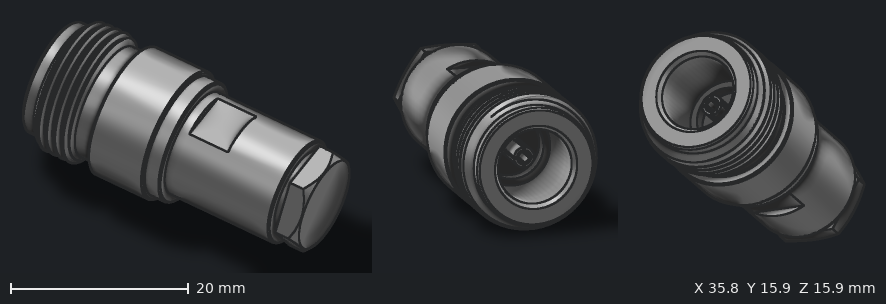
import cadquery as cq
import math

LENGTH = 35.78
THREAD_START = 1.55
THREAD_END = 7.0
COLLAR_START = 9.37
COLLAR_END = 16.6
STEP_END = 18.57
BODY_END = 32.35
NUT_START = 33.2

BARREL_RADIUS = 6.87
BARREL_RING_RADIUS = 7.0
COLLAR_RADIUS = 7.95
STEP_RADIUS = 7.4
BODY_RADIUS = 6.35
NECK_RADIUS = 5.15

MOUTH_CHAMFER = 0.25
EDGE_CHAMFER = 0.18
RING_WIDTH = 0.1

THREAD_MAJOR_RADIUS = 7.95
THREAD_ROOT_RADIUS = 7.37
THREAD_PITCH = 1.07
THREAD_TURNS = 6
THREAD_CREST_WIDTH = 0.18
THREAD_FLANK_ANGLE = 30.0
FIRST_CREST_X = 0.95
RIDGE_OVERLAP = 0.1
CREST_CLEARANCE = 0.05
LEAD_IN_SLOPE = 1.0
RUN_OUT_SLOPE = 1.3

FLAT_START = 19.82
FLAT_END = 24.9
FLAT_HEIGHT = 5.55

NUT_FLAT_RADIUS = 5.5
NUT_CORNER_RADIUS = NUT_FLAT_RADIUS / math.cos(math.pi / 6)
NUT_FACE_RADIUS = 5.45
NUT_CHAMFER_LENGTH = 0.82
NUT_TRIM_RADIUS = 7.15

SOCKET_MOUTH_RADIUS = 4.83
SOCKET_RADIUS = 4.33
SOCKET_DEPTH = 9.05
CAVITY_RADIUS = 3.55
CAVITY_DEPTH = 10.75
CONTACT_RADIUS = 1.18
CONTACT_TIP = 4.75
CONTACT_HOLE_RADIUS = 0.65
CONTACT_MOUTH_RADIUS = 0.82
CONTACT_HOLE_DEPTH = 4.3
CONTACT_SLOT_WIDTH = 0.2
CONTACT_SLOT_DEPTH = 3.58


def revolve_x(points):
    """Revolve a closed (x, radius) outline around the X axis."""
    return cq.Workplane("XY").polyline(points).close().revolve(360, (0, 0, 0), (1, 0, 0))


def cylinder_x(start, end, radius):
    """Cylinder on the X axis between two stations."""
    return cq.Workplane("YZ", origin=(start, 0, 0)).circle(radius).extrude(end - start)


def thread_envelope():
    """Solid just clear of the thread crests, with a cone at each end down to the barrel."""
    radius = THREAD_MAJOR_RADIUS + CREST_CLEARANCE
    rise = radius - BARREL_RADIUS
    return revolve_x([
        (THREAD_START, 0),
        (THREAD_START, BARREL_RADIUS),
        (THREAD_START + rise / LEAD_IN_SLOPE, radius),
        (THREAD_END - rise / RUN_OUT_SLOPE, radius),
        (THREAD_END, BARREL_RADIUS),
        (THREAD_END, 0),
    ])


def thread_ridge():
    """Right-hand helical ridge around the X axis, starting on the underside of the part."""
    base_radius = THREAD_ROOT_RADIUS - RIDGE_OVERLAP
    half_crest = THREAD_CREST_WIDTH / 2
    flank_run = (THREAD_MAJOR_RADIUS - base_radius) * math.tan(math.radians(THREAD_FLANK_ANGLE))
    half_base = half_crest + flank_run
    helix = cq.Wire.makeHelix(THREAD_PITCH, THREAD_PITCH * THREAD_TURNS, base_radius)
    ridge = (
        cq.Workplane("XZ")
        .polyline([
            (base_radius, -half_base),
            (THREAD_MAJOR_RADIUS, -half_crest),
            (THREAD_MAJOR_RADIUS, half_crest),
            (base_radius, half_base),
        ])
        .close()
        .sweep(cq.Workplane(helix), isFrenet=True)
    )
    return ridge.rotate((0, 0, 0), (0, 1, 0), 90).translate((FIRST_CREST_X, 0, 0))


def threaded_stretch():
    """Thread on its root cylinder, both trimmed together by the end cones."""
    root = cylinder_x(0, COLLAR_START, THREAD_ROOT_RADIUS)
    return root.union(thread_ridge()).intersect(thread_envelope())


def outer_shell():
    """All the round outer steps from the mating face to the neck under the nut."""
    return revolve_x([
        (0, 0),
        (0, BARREL_RADIUS - MOUTH_CHAMFER),
        (MOUTH_CHAMFER, BARREL_RADIUS),
        (COLLAR_START - RING_WIDTH, BARREL_RADIUS),
        (COLLAR_START - RING_WIDTH, BARREL_RING_RADIUS),
        (COLLAR_START, BARREL_RING_RADIUS),
        (COLLAR_START, COLLAR_RADIUS - EDGE_CHAMFER),
        (COLLAR_START + EDGE_CHAMFER, COLLAR_RADIUS),
        (COLLAR_END - EDGE_CHAMFER, COLLAR_RADIUS),
        (COLLAR_END, COLLAR_RADIUS - EDGE_CHAMFER),
        (COLLAR_END, STEP_RADIUS),
        (STEP_END - EDGE_CHAMFER, STEP_RADIUS),
        (STEP_END, STEP_RADIUS - EDGE_CHAMFER),
        (STEP_END, BODY_RADIUS),
        (BODY_END - EDGE_CHAMFER, BODY_RADIUS),
        (BODY_END, BODY_RADIUS - EDGE_CHAMFER),
        (BODY_END, NECK_RADIUS),
        (NUT_START, NECK_RADIUS),
        (NUT_START, 0),
    ])


def wrench_flat(side):
    """Block that cuts a flat on the top (side = 1) or the underside (side = -1)."""
    depth = BODY_RADIUS - FLAT_HEIGHT
    return cq.Workplane("XY").box(FLAT_END - FLAT_START, 2 * BODY_RADIUS, depth).translate(
        ((FLAT_START + FLAT_END) / 2, 0, side * (FLAT_HEIGHT + depth / 2))
    )


def clamp_nut():
    """Hexagon with flats on top and underside, its corners turned down at the rear face."""
    hexagon = (
        cq.Workplane("YZ", origin=(NUT_START, 0, 0))
        .polygon(6, 2 * NUT_CORNER_RADIUS)
        .extrude(LENGTH - NUT_START)
    )
    chamfer_slope = (NUT_CORNER_RADIUS - NUT_FACE_RADIUS) / NUT_CHAMFER_LENGTH
    cone_start = LENGTH - (NUT_TRIM_RADIUS - NUT_FACE_RADIUS) / chamfer_slope
    turned = revolve_x([
        (NUT_START, 0),
        (NUT_START, NUT_TRIM_RADIUS),
        (cone_start, NUT_TRIM_RADIUS),
        (LENGTH, NUT_FACE_RADIUS),
        (LENGTH, 0),
    ])
    return hexagon.intersect(turned)


def socket():
    """Front socket with a tapered mouth and a narrower cavity at its bottom."""
    mouth_taper = SOCKET_MOUTH_RADIUS - SOCKET_RADIUS
    return revolve_x([
        (0, 0),
        (0, SOCKET_MOUTH_RADIUS),
        (mouth_taper, SOCKET_RADIUS),
        (SOCKET_DEPTH, SOCKET_RADIUS),
        (SOCKET_DEPTH, CAVITY_RADIUS),
        (CAVITY_DEPTH, CAVITY_RADIUS),
        (CAVITY_DEPTH, 0),
    ])


def centre_contact():
    """Tubular contact on the socket floor, split into four fingers by crossed slots."""
    mouth_taper = CONTACT_MOUTH_RADIUS - CONTACT_HOLE_RADIUS
    contact = cylinder_x(CONTACT_TIP, CAVITY_DEPTH, CONTACT_RADIUS)
    hole = revolve_x([
        (CONTACT_TIP, 0),
        (CONTACT_TIP, CONTACT_MOUTH_RADIUS),
        (CONTACT_TIP + mouth_taper, CONTACT_HOLE_RADIUS),
        (CONTACT_TIP + CONTACT_HOLE_DEPTH, CONTACT_HOLE_RADIUS),
        (CONTACT_TIP + CONTACT_HOLE_DEPTH, 0),
    ])
    contact = contact.cut(hole)
    slot = cq.Workplane("XY").box(CONTACT_SLOT_DEPTH, 2 * CONTACT_RADIUS, CONTACT_SLOT_WIDTH)
    slot = slot.translate((CONTACT_TIP + CONTACT_SLOT_DEPTH / 2, 0, 0))
    for angle in (0, 90):
        contact = contact.cut(slot.rotate((0, 0, 0), (1, 0, 0), angle))
    return contact


connector = outer_shell().union(threaded_stretch())
connector = connector.union(clamp_nut())
for side in (1, -1):
    connector = connector.cut(wrench_flat(side))
result = connector.cut(socket()).union(centre_contact())